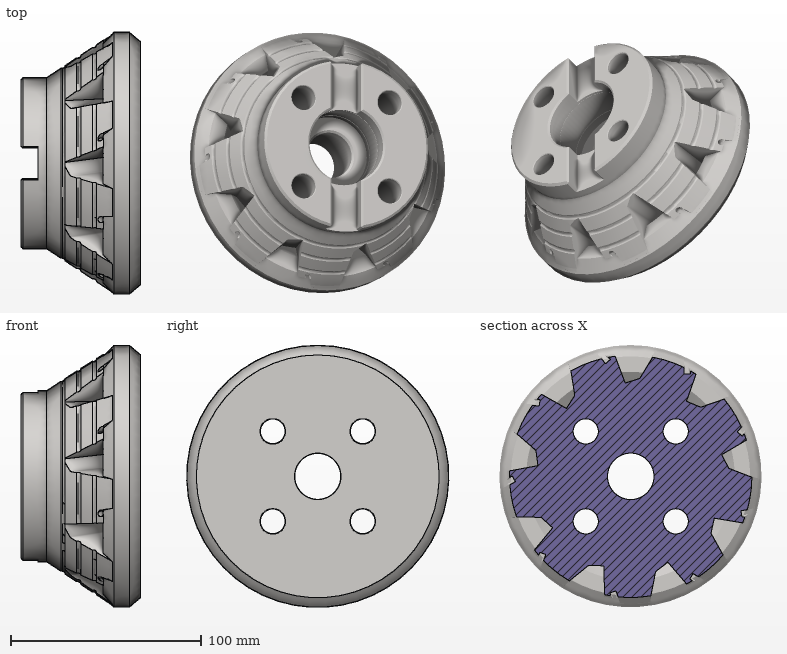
import cadquery as cq
import math


length = 63.0
hub_radius = 45.0
hub_length = 13.6
hub_chamfer = 1.2
rim_radius = 68.9
rim_start = 49.0
rim_end = 57.0
front_radius = 63.8

cone_slope = 0.66
groove_start = 21.1
groove_pitch = 8.25
groove_count = 3
groove_width = 2.2

flank_start = 43.2
flank_radius = 62.9
undercut_radius = 54.8
undercut_depth = 10.0

tooth_count = 9
gullet_left = 3.0
gullet_left_height = 49.1
gullet_right = -4.6
gullet_right_height = 51.5
gullet_left_angle = 20.5
gullet_right_angle = 31.0
gullet_fillet = 1.2
gullet_skew = 0.13
gullet_drop = 0.08
gullet_reach = 30.0

pad_lip_start = 46.9
pad_root = 48.2
pad_root_radius = 68.1
seat_start = 43.5
seat_floor = 48.0
seat_width = 11.0
seat_wall_offset = -28.0
relief_radius = 1.6
relief_x = 42.2
relief_floor = 54.0

bore_radius = 20.1
bore_depth = 30.0
bore_chamfer = 1.0
bore_entry_step = 0.1
bore_entry_depth = 10.4
bore_groove_start = 23.8
bore_groove_width = 1.7
bore_groove_depth = 0.3
through_radius = 12.1
through_chamfer = 1.1

slot_width = 16.1
slot_depth = 8.9
slot_chamfer = 1.0

bolt_spacing = 47.3
bolt_radius = 6.5
bolt_chamfer = 0.4


def cone_radius(x):
    return hub_radius + cone_slope * (x - hub_length)


def revolve_about_x(sketch):
    return sketch.close().revolve(360, (0, 0, 0), (1, 0, 0))


def make_body():
    outline = (
        cq.Workplane("XZ")
        .lineTo(0, hub_radius - hub_chamfer)
        .lineTo(hub_chamfer, hub_radius)
        .lineTo(hub_length, hub_radius)
    )
    arc_radius = cone_slope * groove_width
    diagonal = arc_radius * math.sqrt(0.5)
    for index in range(groove_count):
        start = groove_start + index * groove_pitch
        end = start + groove_width
        low = cone_radius(start)
        center_x = end - arc_radius
        outline = (
            outline.lineTo(start, low)
            .lineTo(center_x, low)
            .threePointArc(
                (center_x + diagonal, low + arc_radius - diagonal),
                (end, low + arc_radius),
            )
        )
    outline = (
        outline.lineTo(pad_lip_start, cone_radius(pad_lip_start))
        .lineTo(pad_root, pad_root_radius)
        .lineTo(rim_end, pad_root_radius)
        .lineTo(rim_end, 0)
    )
    return revolve_about_x(outline)


def make_rim():
    """Front disc whose rear side has a flank outside the gullets and an undercut below."""
    outline = (
        cq.Workplane("XZ")
        .moveTo(flank_start + undercut_depth, 0)
        .lineTo(flank_start + undercut_depth, undercut_radius - undercut_depth)
        .lineTo(flank_start, undercut_radius)
        .lineTo(flank_start, flank_radius)
        .lineTo(rim_start, rim_radius)
        .lineTo(rim_end, rim_radius)
        .lineTo(length, front_radius)
        .lineTo(length, 0)
    )
    return revolve_about_x(outline)


def make_gullet():
    """Slanted trough of the gullet at +Z, running past both ends of the tooth."""
    left_spread = gullet_reach * math.tan(math.radians(gullet_left_angle))
    right_spread = gullet_reach * math.tan(math.radians(gullet_right_angle))
    section = (
        cq.Workplane("YZ", origin=(flank_start, 0, 0))
        .moveTo(gullet_left, gullet_left_height)
        .lineTo(gullet_left + left_spread, gullet_left_height + gullet_reach)
        .lineTo(gullet_right - right_spread, gullet_right_height + gullet_reach)
        .lineTo(gullet_right, gullet_right_height)
        .close()
    )
    face = cq.Face.makeFromWires(section.val())
    direction = cq.Vector(1, gullet_skew, -gullet_drop)
    start_face = face.translate(direction * -gullet_reach)
    trough = cq.Solid.extrudeLinear(start_face, direction * (2 * gullet_reach))
    corner = cq.Vector(flank_start, gullet_right, gullet_right_height)
    nearest = min(
        (edge for edge in trough.Edges() if edge.Length() > 2 * gullet_reach),
        key=lambda edge: edge.Center().sub(corner).Length,
    )
    return cq.Workplane(trough.fillet(gullet_fillet, [nearest]))


def make_seat():
    """Clearance beside one tooth pad, with a corner relief at the foot of its wall."""
    seat = cq.Workplane("XY").box(
        rim_end - seat_start, seat_width, rim_radius, centered=False
    ).translate((seat_start, seat_wall_offset - seat_width, seat_floor))
    center = (relief_x, seat_wall_offset - relief_radius, relief_floor)
    relief = cq.Workplane("XY", origin=center).circle(relief_radius).extrude(rim_radius)
    return seat.union(relief)


def repeat_around_axis(shape):
    step = 360 / tooth_count
    return [shape.rotate((0, 0, 0), (1, 0, 0), index * step) for index in range(tooth_count)]


def cut_teeth(body):
    for cutter in (make_gullet(), make_seat()):
        for copy in repeat_around_axis(cutter):
            body = body.cut(copy)
    return body


def cut_bore(body):
    groove_end = bore_groove_start + bore_groove_width
    groove_radius = bore_radius + bore_groove_depth
    entry_radius = bore_radius + bore_entry_step
    cavity = revolve_about_x(
        cq.Workplane("XZ")
        .lineTo(0, entry_radius + bore_chamfer)
        .lineTo(bore_chamfer, entry_radius)
        .lineTo(bore_entry_depth, entry_radius)
        .lineTo(bore_entry_depth, bore_radius)
        .lineTo(bore_groove_start, bore_radius)
        .lineTo(bore_groove_start, groove_radius)
        .lineTo(groove_end, groove_radius)
        .lineTo(groove_end, bore_radius)
        .lineTo(bore_depth, bore_radius)
        .lineTo(bore_depth, through_radius + through_chamfer)
        .lineTo(bore_depth + through_chamfer, through_radius)
        .lineTo(length, through_radius)
        .lineTo(length, 0)
    )
    return body.cut(cavity)


def cut_slot(body):
    half = slot_width / 2
    wide = half + slot_chamfer
    profile = [
        (0, -wide),
        (slot_chamfer, -half),
        (slot_depth, -half),
        (slot_depth, half),
        (slot_chamfer, half),
        (0, wide),
    ]
    slot = (
        cq.Workplane("XY", origin=(0, 0, -hub_radius))
        .polyline(profile)
        .close()
        .extrude(2 * hub_radius)
    )
    body = body.cut(slot)
    corner = math.sqrt(hub_radius**2 - half**2)
    for side_y in (-1, 1):
        for side_z in (-1, 1):
            bevel = [
                (side_y * half, side_z * (corner - slot_chamfer)),
                (side_y * (half + 2 * slot_chamfer), side_z * (corner + slot_chamfer)),
                (side_y * half, side_z * (corner + slot_chamfer)),
            ]
            body = body.cut(cq.Workplane("YZ").polyline(bevel).close().extrude(slot_depth))
    return body


def cut_bolt_holes(body):
    hole = revolve_about_x(
        cq.Workplane("XZ")
        .lineTo(0, bolt_radius + bolt_chamfer)
        .lineTo(bolt_chamfer, bolt_radius)
        .lineTo(length, bolt_radius)
        .lineTo(length, 0)
    )
    for side_y in (-1, 1):
        for side_z in (-1, 1):
            offset = (0, side_y * bolt_spacing / 2, side_z * bolt_spacing / 2)
            body = body.cut(hole.translate(offset))
    return body


body = make_body()
body = cut_teeth(body)
body = body.union(make_rim())
body = cut_bore(body)
body = cut_slot(body)
result = cut_bolt_holes(body)